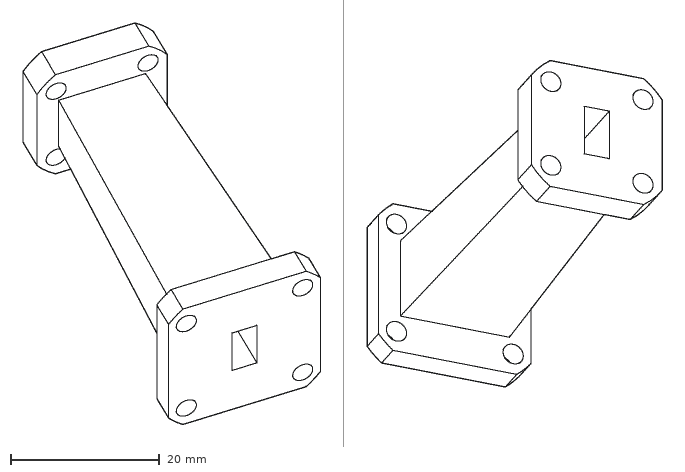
import cadquery as cq

total_length = 53.35

small_side = 19.1
small_thickness = 4.75
small_corner_diameter = 23.45
small_hole_spacing_y = 13.45
small_hole_spacing_z = 12.7

large_side = 22.25
large_thickness = 4.0
large_corner_diameter = 28.65
large_hole_spacing_y = 17.0
large_hole_spacing_z = 16.25

hole_diameter = 2.95

body_small_width = 12.7
body_small_height = 8.9
body_large_width = 15.9
body_large_height = 11.4

passage_width = 3.65
passage_height = 7.2

start_x = -total_length / 2
body_start_x = start_x + small_thickness
body_length = total_length - small_thickness - large_thickness
large_flange_x = body_start_x + body_length


def section_plane(x):
    """Plane across the part at x; its local axes are global Y and Z."""
    return cq.Workplane("YZ", origin=(x, 0, 0))


def flange(x, side, thickness, corner_diameter, spacing_y, spacing_z):
    """Square plate with corners rounded to a centred circle and four through holes."""
    plate = section_plane(x).rect(side, side).extrude(thickness)
    corner_disc = section_plane(x).circle(corner_diameter / 2).extrude(thickness)
    holes = (
        section_plane(x)
        .rect(spacing_y, spacing_z, forConstruction=True)
        .vertices()
        .circle(hole_diameter / 2)
        .extrude(thickness)
    )
    return plate.intersect(corner_disc).cut(holes)


small_flange = flange(
    start_x,
    small_side,
    small_thickness,
    small_corner_diameter,
    small_hole_spacing_y,
    small_hole_spacing_z,
)
large_flange = flange(
    large_flange_x,
    large_side,
    large_thickness,
    large_corner_diameter,
    large_hole_spacing_y,
    large_hole_spacing_z,
)
body = (
    section_plane(body_start_x)
    .rect(body_small_width, body_small_height)
    .workplane(offset=body_length)
    .rect(body_large_width, body_large_height)
    .loft(ruled=True)
)
passage = section_plane(start_x).rect(passage_width, passage_height).extrude(total_length)

result = small_flange.union(body).union(large_flange).cut(passage)